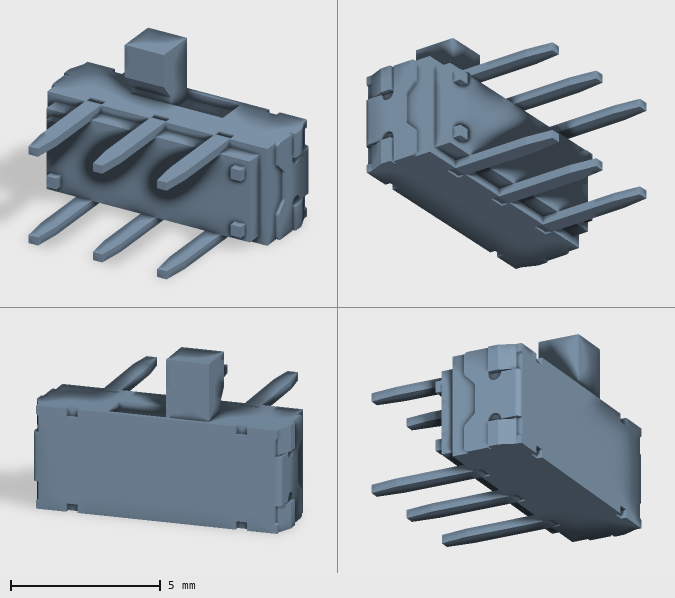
import cadquery as cq


HOUSING_WIDTH = 8.54
HOUSING_DEPTH = 2.6
HOUSING_HEIGHT = 3.6
MID_Z = HOUSING_HEIGHT / 2
BACK_Y = HOUSING_DEPTH
SIDE_X = HOUSING_WIDTH / 2

BLOCK_WIDTH = 7.9
BLOCK_DEPTH = 0.6
BLOCK_HEIGHT = 3.0
PEG_SIZE = 0.4
PEG_LENGTH = 0.3
PEG_SPACING_X = 7.16
PEG_SPACING_Z = 2.1

PIN_PITCH = 2.5
PIN_WIDTH = 0.6
PIN_TIP_WIDTH = 0.37
PIN_THICKNESS = (HOUSING_HEIGHT - BLOCK_HEIGHT) / 2
PIN_LENGTH = 3.9
PIN_TAPER_LENGTH = 1.0
PIN_BEND_RADIUS = 0.33

WINDOW_LENGTH = 3.58
WINDOW_WIDTH = 1.14
WINDOW_DEPTH = 0.3
COVER_THICKNESS = 0.2
KNOB_SIZE = 1.52
KNOB_HEIGHT = 2.0
KNOB_HEAD_HEIGHT = 1.2
KNOB_SLOPE_HEIGHT = 0.6
KNOB_NECK_DEPTH = 1.03
KNOB_BACK_GAP = 0.04
KNOB_LEFT_GAP = 0.02

NOTCH_SPACING = 6.0
NOTCH_WIDTH = 0.4
NOTCH_DEPTH = 0.29

PLATE_X = 4.41
PLATE_THICKNESS = PLATE_X - SIDE_X
PLATE_FRONT_Y = BACK_Y - 2.09
PLATE_RECESS_Y = BACK_Y - 1.69
PLATE_RECESS_HEIGHT = 1.06
PLATE_RECESS_OFFSET_Z = 0.07
PLATE_SLOPE_HEIGHT = 0.38
PLATE_CORNER_RADIUS = 0.12
BEND_RADIUS = 0.2
BAND_HEIGHT = 1.7

WING_X = 4.5
WING_HEIGHT = 0.9
WING_FRONT_Y = BACK_Y - 1.14
WING_SLOPE_END_Y = BACK_Y - 0.76
WING_BACK_Y = BACK_Y - COVER_THICKNESS
RELIEF_RADIUS = 0.25
WING_FRONT_GAP = 0.06
RELIEF_FRONT_Y = WING_FRONT_Y - WING_FRONT_GAP

CORNER_INSET = 0.08
CORNER_BEVEL = 0.06


def box(x_min, x_max, y_min, y_max, z_min, z_max):
    """Axis-aligned box given by its limits."""
    size = (x_max - x_min, y_max - y_min, z_max - z_min)
    return cq.Workplane("XY").box(*size, centered=False).translate((x_min, y_min, z_min))


def upside_down(shape):
    """Mirror image of a shape about the mid-height of the housing."""
    return shape.mirror("XY", (0, 0, MID_Z))


def make_housing():
    housing = box(-SIDE_X, SIDE_X, 0, BACK_Y, 0, HOUSING_HEIGHT)
    block_x = BLOCK_WIDTH / 2
    block_z = BLOCK_HEIGHT / 2
    housing = housing.union(box(-block_x, block_x, -BLOCK_DEPTH, 0, MID_Z - block_z, MID_Z + block_z))
    pegs = (
        cq.Workplane("XZ", origin=(0, 0, MID_Z))
        .rarray(PEG_SPACING_X, PEG_SPACING_Z, 2, 2)
        .rect(PEG_SIZE, PEG_SIZE)
        .extrude(BLOCK_DEPTH + PEG_LENGTH)
    )
    return housing.union(pegs)


def make_notches():
    """Cutters for the two notches in the upper back edge."""
    return (
        cq.Workplane("XY", origin=(0, BACK_Y - COVER_THICKNESS / 2, HOUSING_HEIGHT - NOTCH_DEPTH))
        .rarray(NOTCH_SPACING, 1, 2, 1)
        .rect(NOTCH_WIDTH, COVER_THICKNESS)
        .extrude(NOTCH_DEPTH)
    )


def make_corner_recess():
    """Cutter along the left back corner, bevelled where it meets the cover edges."""
    bottom = NOTCH_DEPTH
    top = HOUSING_HEIGHT - NOTCH_DEPTH
    outline = [
        (-SIDE_X, bottom),
        (-SIDE_X + CORNER_INSET, bottom + CORNER_BEVEL),
        (-SIDE_X + CORNER_INSET, top - CORNER_BEVEL),
        (-SIDE_X, top),
    ]
    return cq.Workplane("XZ", origin=(0, BACK_Y, 0)).polyline(outline).close().extrude(COVER_THICKNESS)


def make_window():
    top_y = BACK_Y - COVER_THICKNESS
    half = WINDOW_LENGTH / 2
    return box(-half, half, top_y - WINDOW_WIDTH, top_y, HOUSING_HEIGHT - WINDOW_DEPTH, HOUSING_HEIGHT)


def make_knob():
    """Slider knob whose head overhangs a thinner neck; the neck stands on the window floor."""
    back = BACK_Y - COVER_THICKNESS - KNOB_BACK_GAP
    front = back - KNOB_SIZE
    neck_front = back - KNOB_NECK_DEPTH
    left = -WINDOW_LENGTH / 2 + KNOB_LEFT_GAP
    floor = HOUSING_HEIGHT - WINDOW_DEPTH
    top = HOUSING_HEIGHT + KNOB_HEIGHT
    head_bottom = top - KNOB_HEAD_HEIGHT
    profile = [
        (back, floor),
        (back, top),
        (front, top),
        (front, head_bottom),
        (neck_front, head_bottom - KNOB_SLOPE_HEIGHT),
        (neck_front, floor),
    ]
    return cq.Workplane("YZ", origin=(left, 0, 0)).polyline(profile).close().extrude(KNOB_SIZE)


def make_bend_hollow(x):
    """Cutter above the rounded bend of an upper terminal, just behind the housing front."""
    bottom = HOUSING_HEIGHT - PIN_BEND_RADIUS
    return (
        cq.Workplane("YZ", origin=(x - PIN_WIDTH / 2, 0, 0))
        .moveTo(0, HOUSING_HEIGHT)
        .lineTo(PIN_BEND_RADIUS, HOUSING_HEIGHT)
        .lineTo(PIN_BEND_RADIUS, bottom)
        .radiusArc((0, HOUSING_HEIGHT), -PIN_BEND_RADIUS)
        .close()
        .extrude(PIN_WIDTH)
    )


def make_pin(x):
    """Upper terminal, flush with the housing top and tapered in width towards its tip."""
    half = PIN_WIDTH / 2
    tip = PIN_TIP_WIDTH / 2
    taper_y = PIN_TAPER_LENGTH - PIN_LENGTH
    outline = [
        (x - half, 0),
        (x - half, taper_y),
        (x - tip, -PIN_LENGTH),
        (x + tip, -PIN_LENGTH),
        (x + half, taper_y),
        (x + half, 0),
    ]
    base = cq.Workplane("XY", origin=(0, 0, HOUSING_HEIGHT - PIN_THICKNESS))
    return base.polyline(outline).close().extrude(PIN_THICKNESS)


def make_wing():
    """Upper left wing: a flat-ended slab that slopes outwards from the back."""
    outline = [
        (-SIDE_X, WING_BACK_Y),
        (-WING_X, WING_SLOPE_END_Y),
        (-WING_X, WING_FRONT_Y),
        (-SIDE_X, WING_FRONT_Y),
    ]
    base = cq.Workplane("XY", origin=(0, 0, HOUSING_HEIGHT - WING_HEIGHT))
    return base.polyline(outline).close().extrude(WING_HEIGHT)


def make_side_plate():
    """Left side plate: a band from the back that widens to the full housing height."""
    band = BAND_HEIGHT / 2
    recess_bottom = MID_Z + PLATE_RECESS_OFFSET_Z - PLATE_RECESS_HEIGHT / 2
    recess_top = recess_bottom + PLATE_RECESS_HEIGHT
    outline = [
        (BACK_Y, MID_Z - band),
        (RELIEF_FRONT_Y, MID_Z - band),
        (RELIEF_FRONT_Y, 0),
        (PLATE_FRONT_Y, 0),
        (PLATE_FRONT_Y, recess_bottom - PLATE_SLOPE_HEIGHT),
        (PLATE_RECESS_Y, recess_bottom),
        (PLATE_RECESS_Y, recess_top),
        (PLATE_FRONT_Y, recess_top + PLATE_SLOPE_HEIGHT),
        (PLATE_FRONT_Y, HOUSING_HEIGHT),
        (RELIEF_FRONT_Y, HOUSING_HEIGHT),
        (RELIEF_FRONT_Y, MID_Z + band),
        (BACK_Y, MID_Z + band),
    ]
    base = cq.Workplane("YZ", origin=(-PLATE_X, 0, 0))
    plate = base.polyline(outline).close().extrude(PLATE_THICKNESS + CORNER_INSET)
    margin = PLATE_THICKNESS
    front_corners = cq.selectors.BoxSelector(
        (-WING_X, PLATE_FRONT_Y - margin, -margin),
        (0, PLATE_RECESS_Y + margin, HOUSING_HEIGHT + margin),
    )
    plate = plate.edges("|X").edges(front_corners).fillet(PLATE_CORNER_RADIUS)
    plate = plate.edges("|Z and <X and >Y").fillet(BEND_RADIUS)
    relief_y = RELIEF_FRONT_Y + RELIEF_RADIUS
    relief_centres = [(relief_y, MID_Z - band), (relief_y, MID_Z + band)]
    reliefs = base.pushPoints(relief_centres).circle(RELIEF_RADIUS).extrude(PLATE_THICKNESS)
    return plate.cut(reliefs)


body = make_housing().cut(make_window()).union(make_knob())

notches = make_notches()
recess = make_corner_recess()
for cutter in (notches, upside_down(notches), recess, recess.mirror("YZ")):
    body = body.cut(cutter)

for pin_x in (-PIN_PITCH, 0, PIN_PITCH):
    hollow = make_bend_hollow(pin_x)
    pin = make_pin(pin_x)
    body = body.cut(hollow).cut(upside_down(hollow))
    body = body.union(pin).union(upside_down(pin))

wing = make_wing()
for side_part in (wing, upside_down(wing), make_side_plate()):
    body = body.union(side_part).union(side_part.mirror("YZ"))

result = body